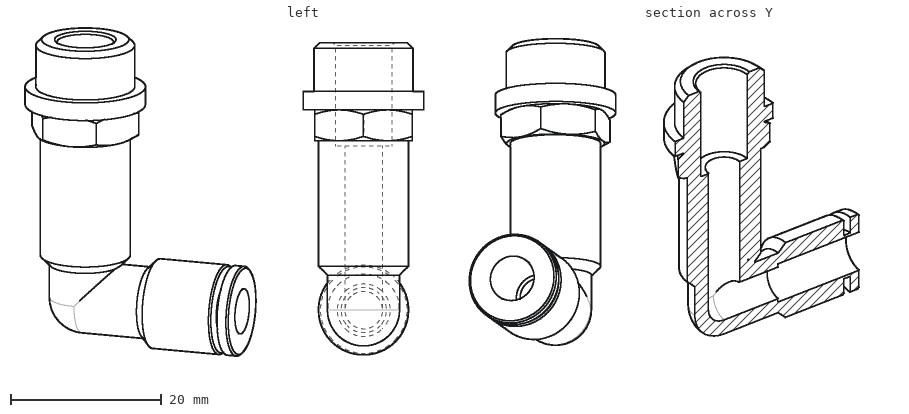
import cadquery as cq
import math

height = 41.5
elbow_radius = 9.6 / 2
body_radius = 12.0 / 2
top_z = height - body_radius

stem_cone_start_z = 4.6
collar_radius = 16.0 / 2
collar_top_z = 29.0
collar_thickness = 2.45
collar_bottom_z = collar_top_z - collar_thickness
thread_radius = 13.15 / 2
thread_chamfer = 0.8

hex_height = 4.1
hex_across_flats = 13.0
hex_chamfer_angle = 30.0
hex_bottom_z = collar_bottom_z - hex_height

arm_cone_start_x = 8.8
arm_body_end_x = 19.55
ring_start_x = 20.5
arm_end_x = 30.0 - collar_radius
ring_neck_radius = 7.0 / 2
edge_chamfer = 0.25

passage_radius = 5.0 / 2
stem_bore_radius = 7.5 / 2
stem_bore_depth = 13.7
stem_bore_chamfer = 0.35
tube_bore_radius = 6.0 / 2
tube_bore_depth = arm_end_x - arm_cone_start_x

cone_length = body_radius - elbow_radius


def revolve_stem(points):
    """Turn a (radius, z) outline about the stem axis."""
    return cq.Workplane("XZ").polyline(points).close().revolve(360, (0, 0), (0, 1))


def revolve_arm(points):
    """Turn an (x, radius) outline about the arm axis."""
    return cq.Workplane("XZ").polyline(points).close().revolve(360, (0, 0), (1, 0))


def make_stem():
    return revolve_stem([
        (0, 0),
        (elbow_radius, 0),
        (elbow_radius, stem_cone_start_z),
        (body_radius, stem_cone_start_z + cone_length),
        (body_radius, collar_bottom_z),
        (collar_radius, collar_bottom_z),
        (collar_radius, collar_top_z),
        (thread_radius, collar_top_z),
        (thread_radius, top_z - thread_chamfer),
        (thread_radius - thread_chamfer, top_z),
        (0, top_z),
    ])


def make_hexagon():
    """Hexagon with corners on X, both ends chamfered by a cone that touches the flats."""
    flat_radius = hex_across_flats / 2
    corner_radius = flat_radius / math.cos(math.pi / 6)
    chamfer_height = (corner_radius - flat_radius) * math.tan(math.radians(hex_chamfer_angle))
    prism = (
        cq.Workplane("XY", origin=(0, 0, hex_bottom_z))
        .polygon(6, 2 * corner_radius)
        .extrude(hex_height)
    )
    envelope = revolve_stem([
        (0, hex_bottom_z),
        (flat_radius, hex_bottom_z),
        (corner_radius, hex_bottom_z + chamfer_height),
        (corner_radius, collar_bottom_z - chamfer_height),
        (flat_radius, collar_bottom_z),
        (0, collar_bottom_z),
    ])
    return prism.intersect(envelope)


def make_arm():
    """Arm with its wide body, and a release ring on a narrow neck at the end."""
    return revolve_arm([
        (0, 0),
        (0, elbow_radius),
        (arm_cone_start_x, elbow_radius),
        (arm_cone_start_x + cone_length, body_radius),
        (arm_body_end_x - edge_chamfer, body_radius),
        (arm_body_end_x, body_radius - edge_chamfer),
        (arm_body_end_x, ring_neck_radius),
        (ring_start_x, ring_neck_radius),
        (ring_start_x, body_radius),
        (arm_end_x - edge_chamfer, body_radius),
        (arm_end_x, body_radius - edge_chamfer),
        (arm_end_x, 0),
    ])


def make_bores():
    """Passage through the elbow with a round corner, widened at both ends."""
    stem_bore = revolve_stem([
        (0, 0),
        (passage_radius, 0),
        (passage_radius, top_z - stem_bore_depth),
        (stem_bore_radius, top_z - stem_bore_depth),
        (stem_bore_radius, top_z - stem_bore_chamfer),
        (stem_bore_radius + stem_bore_chamfer, top_z),
        (0, top_z),
    ])
    arm_bore = revolve_arm([
        (0, 0),
        (0, passage_radius),
        (arm_end_x - tube_bore_depth, passage_radius),
        (arm_end_x - tube_bore_depth, tube_bore_radius),
        (arm_end_x, tube_bore_radius),
        (arm_end_x, 0),
    ])
    corner = cq.Workplane("XY").sphere(passage_radius)
    return stem_bore.union(arm_bore).union(corner)


elbow_corner = cq.Workplane("XY").sphere(elbow_radius)
outside = make_stem().union(make_hexagon()).union(make_arm()).union(elbow_corner)
result = outside.cut(make_bores())